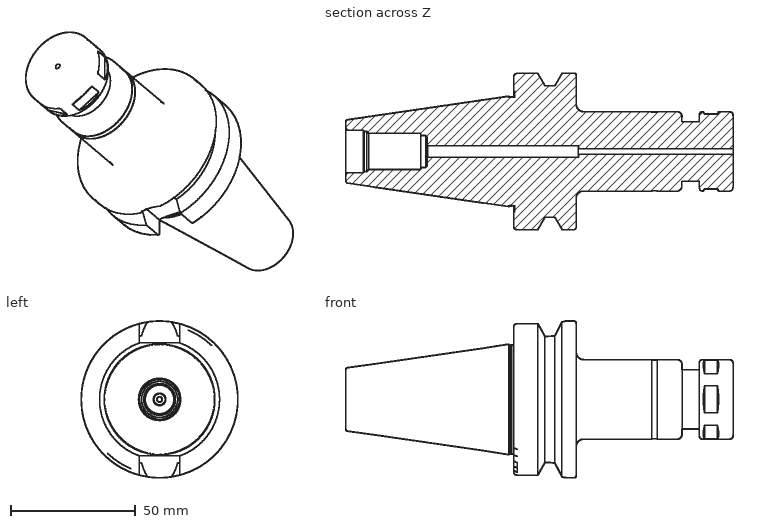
import cadquery as cq
import math

TOTAL_LENGTH = 155.4
CUT_MARGIN = 0.8

TAPER_LENGTH = 65.5
TAPER_LARGE_RADIUS = 22.2
TAPER_RATIO = 7 / 24
TAPER_SMALL_RADIUS = TAPER_LARGE_RADIUS - TAPER_LENGTH * TAPER_RATIO / 2
SHANK_ROUND = 0.8

NECK_RADIUS = 21.9
NECK_RING_START = 66.0
NECK_RING_END = 66.7
NECK_RING_DEPTH = 0.2

FLANGE_START = 67.3
FLANGE_END = 92.5
FLANGE_RADIUS = 63.0 / 2
FLANGE_FRONT_ROUND = 1.4
FLANGE_BACK_ROUND = 1.0
FACE_RECESS_RADIUS = 24.1
FACE_RECESS_DEPTH = 0.5
GROOVE_START = 77.1
GROOVE_END = 86.7
GROOVE_RADIUS = 26.5
GROOVE_WALL_ANGLE = 30
SLOT_WIDTH = 16.2
SLOT_FLOOR = 22.7
SLOT_END = 88.3

BODY_RADIUS = 32.0 / 2
BODY_END = 134.9
BODY_ROOT_FILLET = 3.0
BODY_NOSE_ROUND = 2.0
RING_START = 122.8
RING_END = 125.0
RING_DEPTH = 0.2

COLLET_NECK_RADIUS = 24.0 / 2
NUT_START = 141.7
NUT_RADIUS = BODY_RADIUS
NUT_BACK_ROUND = 1.4
NUT_FRONT_ROUND = 1.5
FLAT_COUNT = 6
FLAT_DISTANCE = 15.0
FLAT_START = 143.9
FLAT_END = 149.0
FLAT_WALL_ANGLE = 30

PILOT_RADIUS = 17.0 / 2
ENTRY_ROUND = 1.1
PILOT_DEPTH = 7.0
RELIEF_RADIUS = 16.0 / 2
RELIEF_DEPTH = 8.4
THREAD_RADIUS = 14.5 / 2
THREAD_DEPTH = 30.0
TIP_RADIUS = 12.7 / 2
TIP_DEPTH = 32.0
FLOOR_RADIUS = 5.7
SCREW_RADIUS = 5.0 / 2
SCREW_CORE_RADIUS = 4.5 / 2
SCREW_DEPTH = 93.2
THROUGH_RADIUS = 2.0 / 2


def revolve_about_x(profile):
    return profile.close().revolve(360, (0, 0, 0), (1, 0, 0))


def outer_body():
    """Turned outside shape, without slots, flats or bore."""
    groove_run = (FLANGE_RADIUS - GROOVE_RADIUS) * math.tan(math.radians(GROOVE_WALL_ANGLE))
    recess_floor = FLANGE_START + FACE_RECESS_DEPTH
    ring_radius = NECK_RADIUS - NECK_RING_DEPTH
    profile = (
        cq.Workplane("XY")
        .moveTo(0, 0)
        .lineTo(0, TAPER_SMALL_RADIUS)
        .lineTo(TAPER_LENGTH, TAPER_LARGE_RADIUS)
        .lineTo(TAPER_LENGTH, NECK_RADIUS)
        .lineTo(NECK_RING_START, NECK_RADIUS)
        .lineTo(NECK_RING_START, ring_radius)
        .lineTo(NECK_RING_END, ring_radius)
        .lineTo(NECK_RING_END, NECK_RADIUS)
        .lineTo(recess_floor, NECK_RADIUS)
        .lineTo(recess_floor, FACE_RECESS_RADIUS)
        .lineTo(FLANGE_START, FACE_RECESS_RADIUS)
        .lineTo(FLANGE_START, FLANGE_RADIUS - FLANGE_FRONT_ROUND)
        .radiusArc((FLANGE_START + FLANGE_FRONT_ROUND, FLANGE_RADIUS), FLANGE_FRONT_ROUND)
        .lineTo(GROOVE_START, FLANGE_RADIUS)
        .lineTo(GROOVE_START + groove_run, GROOVE_RADIUS)
        .lineTo(GROOVE_END - groove_run, GROOVE_RADIUS)
        .lineTo(GROOVE_END, FLANGE_RADIUS)
        .lineTo(FLANGE_END - FLANGE_BACK_ROUND, FLANGE_RADIUS)
        .radiusArc((FLANGE_END, FLANGE_RADIUS - FLANGE_BACK_ROUND), FLANGE_BACK_ROUND)
        .lineTo(FLANGE_END, BODY_RADIUS + BODY_ROOT_FILLET)
        .radiusArc((FLANGE_END + BODY_ROOT_FILLET, BODY_RADIUS), -BODY_ROOT_FILLET)
        .lineTo(RING_START, BODY_RADIUS)
        .lineTo(RING_START, BODY_RADIUS - RING_DEPTH)
        .lineTo(RING_END, BODY_RADIUS - RING_DEPTH)
        .lineTo(RING_END, BODY_RADIUS)
        .lineTo(BODY_END - BODY_NOSE_ROUND, BODY_RADIUS)
        .radiusArc((BODY_END, BODY_RADIUS - BODY_NOSE_ROUND), BODY_NOSE_ROUND)
        .lineTo(BODY_END, COLLET_NECK_RADIUS)
        .lineTo(NUT_START, COLLET_NECK_RADIUS)
        .lineTo(NUT_START, NUT_RADIUS - NUT_BACK_ROUND)
        .radiusArc((NUT_START + NUT_BACK_ROUND, NUT_RADIUS), NUT_BACK_ROUND)
        .lineTo(TOTAL_LENGTH - NUT_FRONT_ROUND, NUT_RADIUS)
        .radiusArc((TOTAL_LENGTH, NUT_RADIUS - NUT_FRONT_ROUND), NUT_FRONT_ROUND)
        .lineTo(TOTAL_LENGTH, 0)
    )
    body = revolve_about_x(profile)
    return body.faces("<X").edges().fillet(SHANK_ROUND)


def stepped_bore():
    """Cutter for the pilot, threaded bore, screw hole and through hole."""
    relief_start = PILOT_DEPTH + PILOT_RADIUS - RELIEF_RADIUS
    thread_start = RELIEF_DEPTH + RELIEF_RADIUS - THREAD_RADIUS
    floor_depth = TIP_DEPTH + TIP_RADIUS - FLOOR_RADIUS
    core_start = floor_depth + SCREW_RADIUS - SCREW_CORE_RADIUS
    profile = (
        cq.Workplane("XY")
        .moveTo(0, 0)
        .lineTo(0, PILOT_RADIUS + ENTRY_ROUND)
        .radiusArc((ENTRY_ROUND, PILOT_RADIUS), -ENTRY_ROUND)
        .lineTo(PILOT_DEPTH, PILOT_RADIUS)
        .lineTo(relief_start, RELIEF_RADIUS)
        .lineTo(RELIEF_DEPTH, RELIEF_RADIUS)
        .lineTo(thread_start, THREAD_RADIUS)
        .lineTo(THREAD_DEPTH, THREAD_RADIUS)
        .lineTo(THREAD_DEPTH, TIP_RADIUS)
        .lineTo(TIP_DEPTH, TIP_RADIUS)
        .lineTo(floor_depth, FLOOR_RADIUS)
        .lineTo(floor_depth, SCREW_RADIUS)
        .lineTo(core_start, SCREW_CORE_RADIUS)
        .lineTo(SCREW_DEPTH, SCREW_CORE_RADIUS)
        .lineTo(SCREW_DEPTH, THROUGH_RADIUS)
        .lineTo(TOTAL_LENGTH, THROUGH_RADIUS)
        .lineTo(TOTAL_LENGTH, 0)
    )
    return revolve_about_x(profile)


def drive_slot():
    """Cutter for one round-ended slot on the +Z side of the flange."""
    half_width = SLOT_WIDTH / 2
    arc_center = SLOT_END - half_width
    return (
        cq.Workplane("XY", origin=(0, 0, SLOT_FLOOR))
        .moveTo(FLANGE_START, -half_width)
        .lineTo(arc_center, -half_width)
        .threePointArc((SLOT_END, 0), (arc_center, half_width))
        .lineTo(FLANGE_START, half_width)
        .close()
        .extrude(FLANGE_RADIUS)
    )


def nut_flat():
    """Cutter for one wrench flat, whose two end walls lean outward."""
    wall_height = NUT_RADIUS - FLAT_DISTANCE + CUT_MARGIN
    wall_run = wall_height * math.tan(math.radians(FLAT_WALL_ANGLE))
    return (
        cq.Workplane("XZ")
        .moveTo(FLAT_START, FLAT_DISTANCE)
        .lineTo(FLAT_START - wall_run, FLAT_DISTANCE + wall_height)
        .lineTo(FLAT_END + wall_run, FLAT_DISTANCE + wall_height)
        .lineTo(FLAT_END, FLAT_DISTANCE)
        .close()
        .extrude(NUT_RADIUS / 2, both=True)
    )


result = outer_body().cut(stepped_bore())

for angle in (0, 180):
    result = result.cut(drive_slot().rotate((0, 0, 0), (1, 0, 0), angle))

for index in range(FLAT_COUNT):
    angle = (index + 0.5) * 360 / FLAT_COUNT
    result = result.cut(nut_flat().rotate((0, 0, 0), (1, 0, 0), angle))